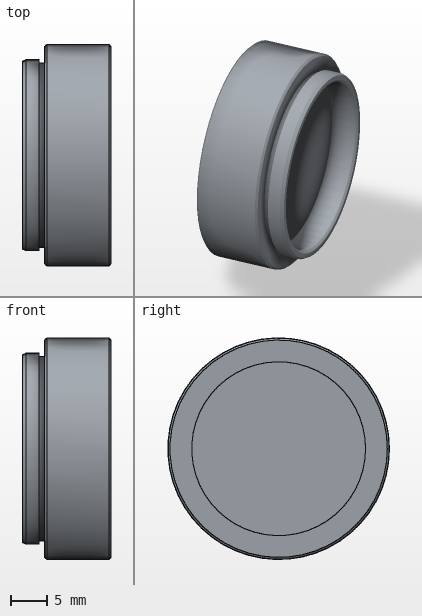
import cadquery as cq

thread_end = 2.29
neck_end = 3.05
body_length = 9.14
total_length = neck_end + body_length

body_radius = 15.24
thread_radius = 13.145
neck_radius = 12.7
bore_radius = 11.95

body_chamfer = 0.3
thread_chamfer_length = 0.5
thread_chamfer_depth = 0.25
bore_chamfer = 0.28

lens_recess = 3.8


def make_housing():
    """Revolved sleeve: threaded nose, relief neck, full-diameter body and a through bore."""
    profile = [
        (0, bore_radius + bore_chamfer),
        (0, thread_radius - thread_chamfer_depth),
        (thread_chamfer_length, thread_radius),
        (thread_end, thread_radius),
        (thread_end, neck_radius),
        (neck_end, neck_radius),
        (neck_end, body_radius - body_chamfer),
        (neck_end + body_chamfer, body_radius),
        (total_length - body_chamfer, body_radius),
        (total_length, body_radius - body_chamfer),
        (total_length, bore_radius),
        (bore_chamfer, bore_radius),
    ]
    return cq.Workplane("XY").polyline(profile).close().revolve(360, (0, 0, 0), (1, 0, 0))


def make_lens():
    """Flat-faced disc filling the bore behind the recess."""
    lens_length = total_length - lens_recess
    return cq.Workplane("YZ", origin=(lens_recess, 0, 0)).circle(bore_radius).extrude(lens_length)


housing = make_housing()
lens = make_lens()

result = cq.Compound.makeCompound([housing.val(), lens.val()])